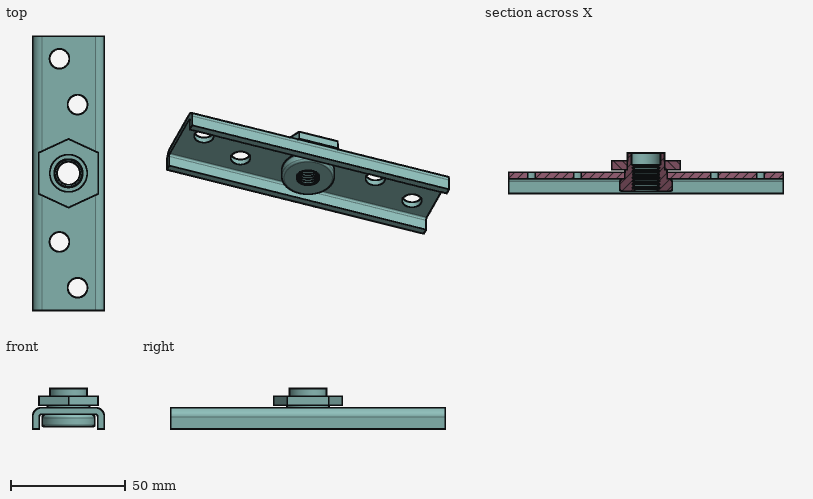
import cadquery as cq

RAIL_LENGTH = 120.0
RAIL_WIDTH = 31.5
RAIL_HEIGHT = 9.5
SHEET = 3.0
OUTER_BEND = 4.0
INNER_BEND = OUTER_BEND - SHEET

MOUNT_HOLE_DIAMETER = 8.5
MOUNT_HOLE_OFFSET = 4.0
INNER_HOLE_Y = 30.0
OUTER_HOLE_Y = 50.0
MOUNT_HOLES = [
    (-MOUNT_HOLE_OFFSET, OUTER_HOLE_Y),
    (MOUNT_HOLE_OFFSET, INNER_HOLE_Y),
    (-MOUNT_HOLE_OFFSET, -INNER_HOLE_Y),
    (MOUNT_HOLE_OFFSET, -OUTER_HOLE_Y),
]

NUT_BOTTOM = 10.5
NUT_THICKNESS = 4.1
NUT_WIDTH = 25.9
NUT_LENGTH = 30.0
NUT_SIDE_LENGTH = 18.0

BUSHING_TOP = 17.9
BUSHING_BOTTOM = 1.1
NECK_DIAMETER = 16.3
SHOULDER_DIAMETER = 18.5
FLANGE_DIAMETER = 23.0
FLANGE_TOP = RAIL_HEIGHT - SHEET
FLANGE_TOP_ROUND = 1.5
FLANGE_BOTTOM_ROUND = 1.0
BORE_DIAMETER = 12.5
BORE_DEPTH = 5.2

THREAD_MAJOR_DIAMETER = 11.9
THREAD_MINOR_DIAMETER = 10.0
THREAD_PITCH = 1.5
THREAD_FLANK_HEIGHT = THREAD_PITCH / 2
THREAD_TOP = BUSHING_TOP - BORE_DEPTH
THREAD_RIDGES = 8


def cylinder(diameter, bottom, top):
    return cq.Workplane("XY", origin=(0, 0, bottom)).circle(diameter / 2).extrude(top - bottom)


def make_rail():
    rail = (
        cq.Workplane("XY")
        .box(RAIL_WIDTH, RAIL_LENGTH, RAIL_HEIGHT, centered=(True, True, False))
        .edges("|Y and >Z")
        .fillet(OUTER_BEND)
    )
    channel = (
        cq.Workplane("XY")
        .box(RAIL_WIDTH - 2 * SHEET, RAIL_LENGTH, RAIL_HEIGHT - SHEET, centered=(True, True, False))
        .edges("|Y and >Z")
        .fillet(INNER_BEND)
    )
    mount_holes = (
        cq.Workplane("XY").pushPoints(MOUNT_HOLES).circle(MOUNT_HOLE_DIAMETER / 2).extrude(RAIL_HEIGHT)
    )
    bushing_hole = cylinder(SHOULDER_DIAMETER, 0, RAIL_HEIGHT)
    return rail.cut(channel).cut(mount_holes).cut(bushing_hole)


def make_nut():
    side_x = NUT_WIDTH / 2
    side_y = NUT_SIDE_LENGTH / 2
    tip_y = NUT_LENGTH / 2
    outline = [
        (0, tip_y),
        (side_x, side_y),
        (side_x, -side_y),
        (0, -tip_y),
        (-side_x, -side_y),
        (-side_x, side_y),
    ]
    hexagon = (
        cq.Workplane("XY", origin=(0, 0, NUT_BOTTOM))
        .polyline(outline)
        .close()
        .extrude(NUT_THICKNESS)
    )
    return hexagon.cut(cylinder(NECK_DIAMETER, NUT_BOTTOM, NUT_BOTTOM + NUT_THICKNESS))


def make_bushing():
    flange = (
        cylinder(FLANGE_DIAMETER, BUSHING_BOTTOM, FLANGE_TOP)
        .edges(">Z")
        .fillet(FLANGE_TOP_ROUND)
        .edges("<Z")
        .fillet(FLANGE_BOTTOM_ROUND)
    )
    shoulder = cylinder(SHOULDER_DIAMETER, FLANGE_TOP, NUT_BOTTOM)
    neck = cylinder(NECK_DIAMETER, NUT_BOTTOM, BUSHING_TOP)
    return flange.union(shoulder).union(neck).cut(make_bore())


def make_bore():
    major_radius = THREAD_MAJOR_DIAMETER / 2
    minor_radius = THREAD_MINOR_DIAMETER / 2
    section = [
        (0, BUSHING_TOP),
        (BORE_DIAMETER / 2, BUSHING_TOP),
        (BORE_DIAMETER / 2, THREAD_TOP),
    ]
    for ridge in range(THREAD_RIDGES):
        ridge_top = THREAD_TOP - ridge * THREAD_PITCH
        section += [
            (major_radius, ridge_top),
            (minor_radius, ridge_top - THREAD_FLANK_HEIGHT),
        ]
    section += [
        (minor_radius, BUSHING_BOTTOM),
        (0, BUSHING_BOTTOM),
    ]
    return cq.Workplane("XZ").polyline(section).close().revolve(360, (0, 0, 0), (0, 1, 0))


rail = make_rail()
nut = make_nut()
bushing = make_bushing()

result = cq.Compound.makeCompound([rail.val(), nut.val(), bushing.val()])